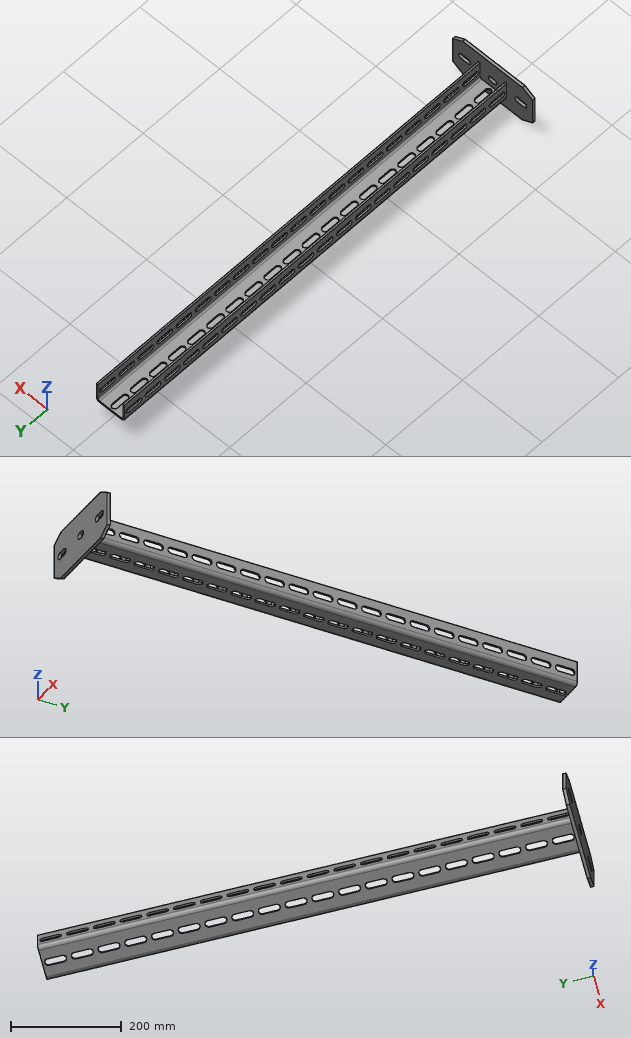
import cadquery as cq

total_length = 1006.0
plate_width = 200.0
plate_height = 100.0

plate_thickness = 6.5
corner_cut_x = 25.0
corner_cut_z = 15.0
plate_slot_height = 13.0
side_slot_length = 29.0
side_slot_offset = 70.0
center_slot_length = 20.0

rail_width = 70.0
rail_height = 50.0
wall = 4.0
bend_radius = 8.0

slot_count = 20
slot_length = 40.0
slot_width = 13.0

rail_length = total_length - plate_thickness
slot_pitch = rail_length / slot_count
rail_top = rail_height / 2
rail_bottom = -rail_top
overcut = 10.0


def make_plate():
    """Rectangular plate with four cut corners and a row of three slots."""
    half_width = plate_width / 2
    half_height = plate_height / 2
    flat_x = half_width - corner_cut_x
    flat_z = half_height - corner_cut_z
    outline = [
        (-flat_x, -half_height),
        (flat_x, -half_height),
        (half_width, -flat_z),
        (half_width, flat_z),
        (flat_x, half_height),
        (-flat_x, half_height),
        (-half_width, flat_z),
        (-half_width, -flat_z),
    ]
    plate = cq.Workplane("XZ").polyline(outline).close().extrude(-plate_thickness)
    slots = (
        cq.Workplane("XZ")
        .pushPoints([(-side_slot_offset, 0), (side_slot_offset, 0)])
        .slot2D(side_slot_length, plate_slot_height)
        .pushPoints([(0, 0)])
        .slot2D(center_slot_length, plate_slot_height)
        .extrude(-plate_thickness)
    )
    return plate.cut(slots)


def rounded_bar(width, bottom, radius):
    """Bar along the rail with its two lower edges rounded."""
    height = rail_top - bottom
    return (
        cq.Workplane("XZ", origin=(0, plate_thickness, 0))
        .center(0, bottom + height / 2)
        .rect(width, height)
        .extrude(-rail_length)
        .edges("|Y and <Z")
        .fillet(radius)
    )


def make_rail():
    """Thin U-shaped channel with bent lower corners."""
    outer = rounded_bar(rail_width, rail_bottom, bend_radius)
    inner = rounded_bar(rail_width - 2 * wall, rail_bottom + wall, bend_radius - wall)
    return outer.cut(inner)


def make_rail_slots():
    """Cutters for the slot rows in the floor and through both side walls."""
    centers = [plate_thickness + slot_pitch * (i + 0.5) for i in range(slot_count)]
    floor_slots = (
        cq.Workplane("XY", origin=(0, 0, rail_bottom - overcut))
        .pushPoints([(0, y) for y in centers])
        .slot2D(slot_length, slot_width, 90)
        .extrude(wall + 2 * overcut)
    )
    wall_slots = (
        cq.Workplane("YZ", origin=(-rail_width / 2 - overcut, 0, 0))
        .pushPoints([(y, 0) for y in centers])
        .slot2D(slot_length, slot_width)
        .extrude(rail_width + 2 * overcut)
    )
    return floor_slots, wall_slots


rail = make_rail()
for cutter in make_rail_slots():
    rail = rail.cut(cutter)

result = make_plate().union(rail)